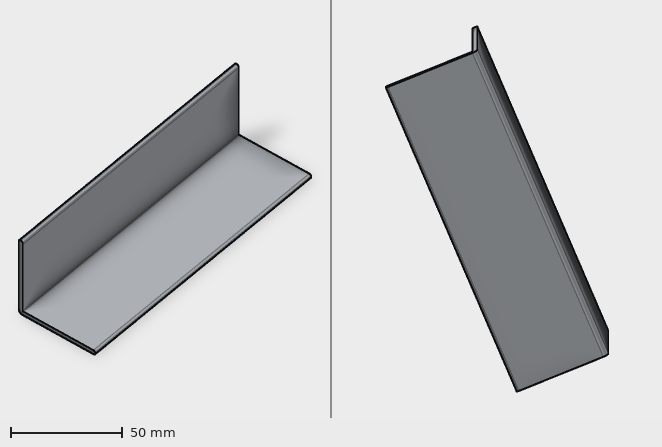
import cadquery as cq

length = 152.4
leg = 44.5
thickness = 2.5
bend_radius = 2.5
inner_radius = 0.2
tip_outer_radius = 1.0
tip_inner_radius = thickness - tip_outer_radius

outer_arc_start = leg - tip_outer_radius
inner_arc_start = leg - tip_inner_radius

section = (
    cq.Workplane("XZ")
    .lineTo(outer_arc_start, 0)
    .tangentArcPoint((leg, tip_outer_radius), relative=False)
    .tangentArcPoint((inner_arc_start, thickness), relative=False)
    .lineTo(thickness, thickness)
    .lineTo(thickness, inner_arc_start)
    .tangentArcPoint((tip_outer_radius, leg), relative=False)
    .tangentArcPoint((0, outer_arc_start), relative=False)
    .close()
)

bar = section.extrude(-length)


def round_corner(body, offset, radius):
    """Fillet the lengthwise edge lying at x = z = offset."""
    corner = cq.selectors.NearestToPointSelector((offset, length / 2, offset))
    return body.edges(corner).fillet(radius)


bar = round_corner(bar, 0, bend_radius)
result = round_corner(bar, thickness, inner_radius)